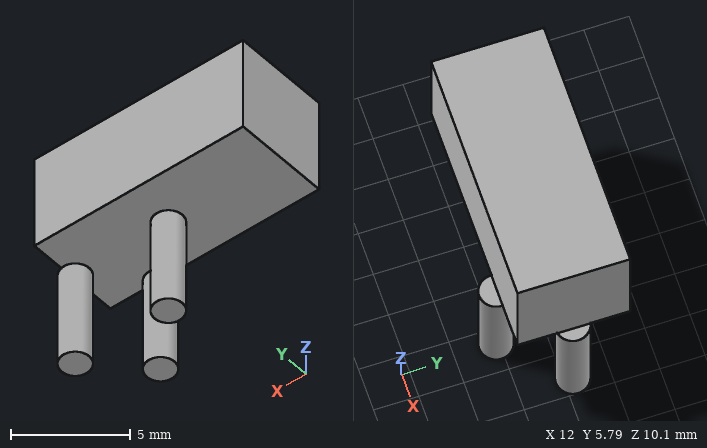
import cadquery as cq

overall_length = 11.99

housing_length = 11.4
housing_width = 5.0
housing_height = 5.0

pin_diameter = 1.5
pin_length = 5.1
pin_pitch = 2.54

end_pin_x = overall_length - pin_diameter / 2
rear_row_y = housing_width / 2
front_row_y = rear_row_y - pin_pitch
pin_positions = [
    (end_pin_x, rear_row_y),
    (end_pin_x - pin_pitch, front_row_y),
    (end_pin_x - 2 * pin_pitch, rear_row_y),
]


def make_housing():
    """Plain block with its lower face at Z = 0."""
    return cq.Workplane("XY").box(
        housing_length, housing_width, housing_height, centered=False
    )


def make_pin(x, y):
    """Straight pin whose top face lies in the housing's lower face plane."""
    return cq.Workplane("XY").center(x, y).circle(pin_diameter / 2).extrude(-pin_length)


housing = make_housing()
pins = [make_pin(x, y) for x, y in pin_positions]

result = cq.Compound.makeCompound([housing.val(), *[pin.val() for pin in pins]])